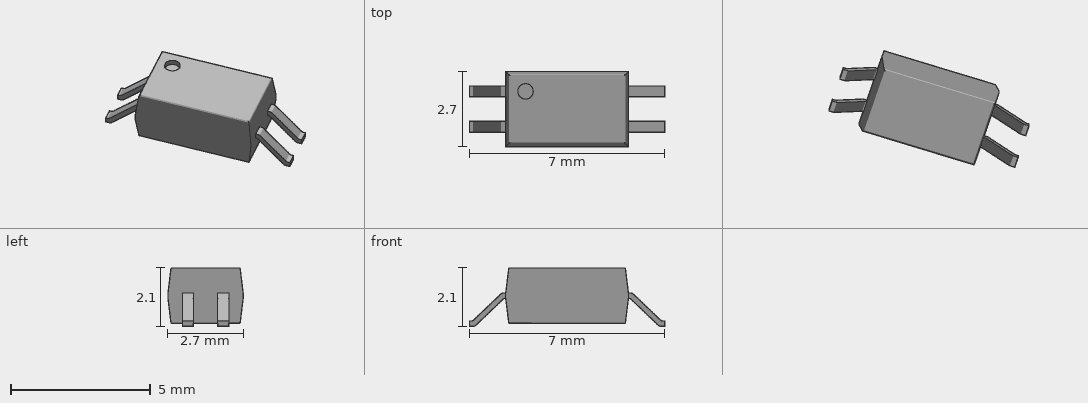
import cadquery as cq
import math

overall_length = 7.0
overall_height = 2.1

housing_length = 4.4
housing_width = 2.7
housing_bottom = 0.1
band_bottom = 1.0
band_height = 0.195
draft_angle = 7.0
rim_radius = 0.06

mark_diameter = 0.55
mark_depth = 0.2
mark_from_end = 0.715

lead_width = 0.4
lead_thickness = band_height
lead_pitch = 1.27
foot_length = 0.195
shoulder_length = 0.055
bend_radius = 0.12

band_top = band_bottom + band_height
lead_reach = (overall_length - housing_length) / 2


def drafted_half(height):
    """Frustum that rises from the XY plane and narrows by the draft angle."""
    frustum = cq.Workplane("XY").rect(housing_length, housing_width).extrude(height, taper=draft_angle)
    return frustum.faces(">Z").edges().fillet(rim_radius)


def make_housing():
    band = (
        cq.Workplane("XY", origin=(0, 0, band_bottom))
        .rect(housing_length, housing_width)
        .extrude(band_height)
    )
    upper = drafted_half(overall_height - band_top).translate((0, 0, band_top))
    lower = drafted_half(band_bottom - housing_bottom).mirror("XY").translate((0, 0, band_bottom))
    mark = (
        cq.Workplane("XY", origin=(mark_from_end - housing_length / 2, lead_pitch / 2, overall_height))
        .circle(mark_diameter / 2)
        .extrude(-mark_depth)
    )
    return band.union(upper).union(lower).cut(mark)


def make_lead():
    """Lead on the -X end, centred on Y = 0, ending flush against the parting band."""
    tip_x = -overall_length / 2
    root_x = tip_x + lead_reach
    slope_start_x = tip_x + foot_length
    slope_end_x = root_x - shoulder_length
    slope_angle = math.atan2(band_bottom, slope_end_x - slope_start_x)
    corner_shift = lead_thickness * math.tan(slope_angle / 2)
    foot_bottom = (slope_start_x, 0)
    shoulder_bottom = (slope_end_x, band_bottom)
    foot_top = (slope_start_x - corner_shift, lead_thickness)
    shoulder_top = (slope_end_x - corner_shift, band_top)
    outline = [
        (tip_x, 0),
        foot_bottom,
        shoulder_bottom,
        (root_x, band_bottom),
        (root_x, band_top),
        shoulder_top,
        foot_top,
        (tip_x, lead_thickness),
    ]
    lead = cq.Workplane("XZ").polyline(outline).close().extrude(lead_width / 2, both=True)

    for x, z in (foot_bottom, foot_top, shoulder_bottom, shoulder_top):
        bend_edge = cq.selectors.NearestToPointSelector((x, 0, z))
        lead = lead.edges("|Y").edges(bend_edge).fillet(bend_radius)
    return lead


housing = make_housing()

leads = []
for end_angle in (0, 180):
    for row in (-1, 1):
        lead = make_lead().translate((0, row * lead_pitch / 2, 0))
        leads.append(lead.rotate((0, 0, 0), (0, 0, 1), end_angle).val())

result = cq.Compound.makeCompound([housing.val(), *leads])